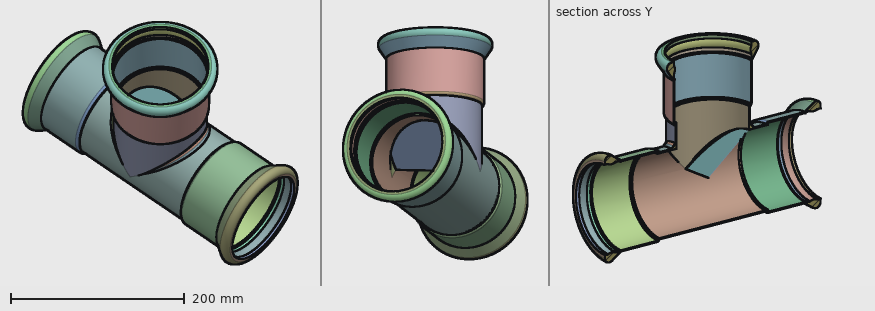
import cadquery as cq
import math

run_half_length = 155.0
branch_height = 160.0

pipe_radius = 108.0 / 2
bore_radius = 104.0 / 2
socket_radius = 112.8 / 2
socket_bore_radius = 108.8 / 2
mouth_radius = 110.7 / 2

lip_radius = 132.0 / 2
lip_round = 6.8
lip_arc_end_angle = math.radians(33)
lip_cone_end = 23.2

socket_end = 78.7
shoulder_round = 3.7
socket_depth = 76.0

seal_start = 4.5
seal_end = 15.5
seal_radius = 108.0 / 2
entry_start = 20.5
entry_end = 22.3

crotch_leg = 5.5
crotch_side_inset = 0.3
web_thickness = 0.5
web_edge_rise = 11.8


def outer_arm(length):
    """Solid arm of revolution about Z, from the crossing up to its mouth."""
    round_centre = lip_radius - lip_round

    def lip_point(angle):
        radius = round_centre + lip_round * math.cos(angle)
        return (radius, length - lip_round - lip_round * math.sin(angle))

    shoulder_mid = shoulder_round * math.sqrt(0.5)
    shoulder_top = length - socket_end + shoulder_round
    return (
        cq.Workplane("XZ")
        .moveTo(0, 0)
        .lineTo(pipe_radius, 0)
        .lineTo(pipe_radius, length - socket_end)
        .lineTo(socket_radius - shoulder_round, length - socket_end)
        .threePointArc(
            (socket_radius - shoulder_round + shoulder_mid, shoulder_top - shoulder_mid),
            (socket_radius, shoulder_top),
        )
        .lineTo(socket_radius, length - lip_cone_end)
        .lineTo(*lip_point(lip_arc_end_angle))
        .threePointArc(lip_point(0), (round_centre, length))
        .lineTo(0, length)
        .close()
        .revolve(360, (0, 0, 0), (0, 1, 0))
    )


def inner_arm(length):
    """Hollow space of an arm: bore, socket, entry cone, sealing ring and mouth."""
    return (
        cq.Workplane("XZ")
        .moveTo(0, 0)
        .lineTo(bore_radius, 0)
        .lineTo(bore_radius, length - socket_depth)
        .lineTo(socket_bore_radius, length - socket_depth)
        .lineTo(socket_bore_radius, length - entry_end)
        .lineTo(mouth_radius, length - entry_start)
        .lineTo(mouth_radius, length - seal_end)
        .threePointArc(
            (seal_radius, length - (seal_start + seal_end) / 2),
            (mouth_radius, length - seal_start),
        )
        .lineTo(mouth_radius, length)
        .lineTo(0, length)
        .close()
        .revolve(360, (0, 0, 0), (0, 1, 0))
    )


def tee(arm):
    """Join two run arms and the branch arm made by the given function."""
    run_arm = arm(run_half_length)
    right = run_arm.rotate((0, 0, 0), (0, 1, 0), 90)
    left = run_arm.rotate((0, 0, 0), (0, 1, 0), -90)
    return right.union(left).union(arm(branch_height))


def crotch_blend(side):
    """Half elliptic cylinder across a crotch, sinking into the pipes at its sides."""
    reach = (2 * pipe_radius + crotch_leg) / math.sqrt(2)
    half_width = pipe_radius - crotch_side_inset
    plane = cq.Plane(origin=(0, 0, 0), xDir=(side, 0, 1), normal=(1, 0, -side))
    return (
        cq.Workplane(plane)
        .moveTo(0, -half_width)
        .ellipseArc(reach, half_width, -90, 90, startAtCurrent=True)
        .close()
        .extrude(crotch_leg / math.sqrt(2), both=True)
    )


def mid_wall_cross():
    """Crossing run and branch cylinders that reach halfway into the pipe wall."""
    radius = (bore_radius + pipe_radius) / 2
    run = cq.Workplane("YZ").circle(radius).extrude(2 * pipe_radius, both=True)
    branch = cq.Workplane("XY").circle(radius).extrude(2 * pipe_radius)
    return run.union(branch)


def crossing_web(space):
    """Thin sloping web from a slanted free edge to the left crotch, trimmed to the given space."""
    edge_y = math.sqrt(bore_radius**2 - web_edge_rise**2)
    edge_start = cq.Vector(0, -bore_radius, 0)
    edge_end = cq.Vector(web_edge_rise, edge_y, web_edge_rise)
    crotch = cq.Vector(-bore_radius, 0, bore_radius)
    edge = edge_end - edge_start
    normal = edge.cross(crotch - edge_start)
    plane = cq.Plane(origin=edge_start.toTuple(), xDir=edge.toTuple(), normal=normal.toTuple())
    overrun = bore_radius / 4
    sheet = (
        cq.Workplane(plane)
        .moveTo(-overrun, 0)
        .rect(edge.Length + 2 * overrun, 2 * bore_radius, centered=False)
        .extrude(web_thickness / 2, both=True)
    )
    return sheet.intersect(space)


body = tee(outer_arm)
for side in (-1, 1):
    body = body.union(crotch_blend(side))

web = crossing_web(mid_wall_cross())
result = body.cut(tee(inner_arm)).union(web)